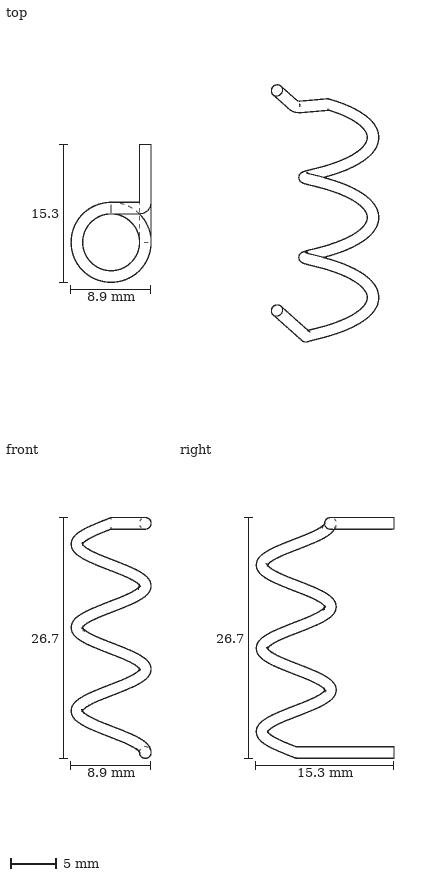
import cadquery as cq

wire_diameter = 1.3
coil_outer_diameter = 8.9
height = 26.7
turns = 2.75
leg_end_y = 10.85

wire_radius = wire_diameter / 2
coil_radius = (coil_outer_diameter - wire_diameter) / 2
guide_radius = 2 * coil_radius
rise = height - wire_diameter
bottom_z = -rise / 2
top_z = rise / 2
bend_radius = wire_radius


def straight_wire(start, end):
    """Round wire between two points."""
    axis = cq.Vector(*end) - cq.Vector(*start)
    return cq.Workplane(obj=cq.Solid.makeCylinder(wire_radius, axis.Length, cq.Vector(*start), axis))


def helix(radius):
    """Left-hand helix about Z that starts on the +X side."""
    return cq.Workplane(obj=cq.Wire.makeHelix(rise / turns, rise, radius, lefthand=True))


def make_coil():
    """Coil from the +X side at the bottom to the +Y side at the top.

    A wider guide helix keeps the round section in the plane through the coil axis.
    """
    section = cq.Workplane("XZ").center(coil_radius, 0).circle(wire_radius)
    coil = section.sweep(helix(coil_radius), auxSpine=helix(guide_radius))
    return coil.translate((0, 0, bottom_z))


def make_bottom_leg():
    """Straight leg along +Y from the lower end of the coil."""
    return straight_wire((coil_radius, 0, bottom_z), (coil_radius, leg_end_y, bottom_z))


def make_top_arm():
    """Short arm along +X, a quarter bend, then a leg along +Y."""
    bend_start_x = coil_radius - bend_radius
    bend_end_y = coil_radius + bend_radius
    arm = straight_wire((0, coil_radius, top_z), (bend_start_x, coil_radius, top_z))
    leg = straight_wire((coil_radius, bend_end_y, top_z), (coil_radius, leg_end_y, top_z))
    bend = (
        cq.Workplane("YZ", origin=(bend_start_x, coil_radius, top_z))
        .circle(wire_radius)
        .revolve(90, (bend_radius, 0), (bend_radius, 1))
    )
    return arm.union(bend).union(leg)


result = make_coil().union(make_bottom_leg()).union(make_top_arm())